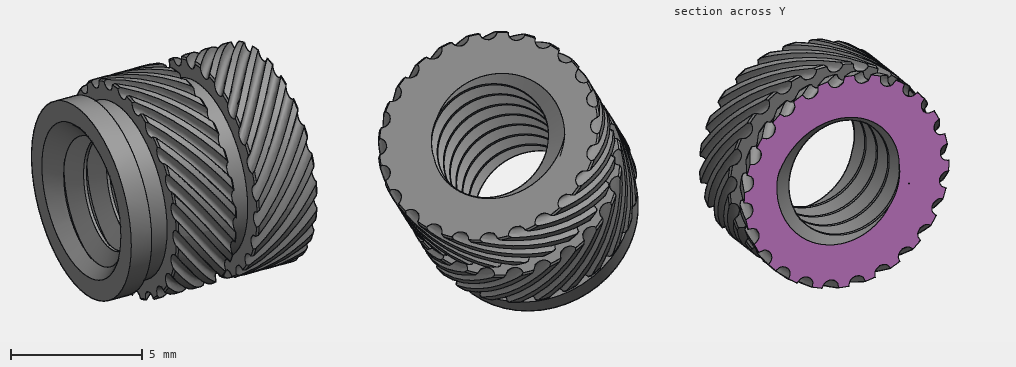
import cadquery as cq
import math


band_width = 0.89
knurl_width = 2.62
knurl_radius = 4.35
knurl_chamfer = 0.07
flange_radius = 3.94
neck_radius = 3.55
total_length = 3 * band_width + 2 * knurl_width
front_knurl_start = 2 * band_width
rear_knurl_start = front_knurl_start + knurl_width + band_width

groove_count = 24
groove_radius = 0.35
groove_lead = 20.01
groove_overrun = 0.09
groove_turn = 360 * knurl_width / groove_lead
front_groove_angle = 0.0
rear_groove_angle = front_groove_angle + groove_turn

bore_radius = 2.245
countersink_radius = 3.115
thread_root_radius = 3.0
thread_pitch = 1.0
thread_flank_angle = 30.0
thread_phase = 0.41
bore_overrun = 1.74
thread_overlap = 0.05
thread_inner_radius = bore_radius - thread_overlap


def disc(radius, start, length):
    return cq.Workplane("XY").workplane(offset=start).circle(radius).extrude(length)


def knurl_blank(start):
    return disc(knurl_radius, start, knurl_width).edges().chamfer(knurl_chamfer)


def knurl_grooves(start, hand, groove_angle):
    """Cutters for one ring of helical grooves; hand is +1 for right-handed, -1 for left-handed."""
    cutter_length = knurl_width + 2 * groove_overrun
    turn_per_length = hand * 360 / groove_lead
    cutter = (
        cq.Workplane("XY")
        .workplane(offset=start - groove_overrun)
        .moveTo(knurl_radius, 0)
        .circle(groove_radius)
        .twistExtrude(cutter_length, turn_per_length * cutter_length)
        .val()
    )
    first_angle = groove_angle - turn_per_length * groove_overrun
    return [
        cutter.rotate(cq.Vector(0, 0, 0), cq.Vector(0, 0, 1), first_angle + i * 360 / groove_count)
        for i in range(groove_count)
    ]


def thread_cutter():
    """Sharp V groove swept along a right-handed helix, starting below the flange face."""
    start = thread_phase - thread_pitch
    turns = math.ceil((total_length - start) / thread_pitch)
    half_width = (thread_root_radius - thread_inner_radius) * math.tan(math.radians(thread_flank_angle))
    helix = cq.Wire.makeHelix(thread_pitch, turns * thread_pitch, thread_inner_radius)
    cutter = (
        cq.Workplane("XZ")
        .polyline([
            (thread_inner_radius, -half_width),
            (thread_root_radius, 0),
            (thread_inner_radius, half_width),
        ])
        .close()
        .sweep(cq.Workplane(helix), isFrenet=True)
    )
    return cutter.translate((0, 0, start))


def threaded_bore():
    """Bore and thread joined into one cutting tool, longer than the part at both ends."""
    bore = disc(bore_radius, -bore_overrun, total_length + 2 * bore_overrun)
    return bore.union(thread_cutter())


def countersink():
    cone_depth = countersink_radius - bore_radius
    return cq.Workplane(cq.Solid.makeCone(countersink_radius, bore_radius, cone_depth))


body = (
    disc(neck_radius, 0, total_length)
    .union(disc(flange_radius, 0, band_width))
    .union(knurl_blank(front_knurl_start))
    .union(knurl_blank(rear_knurl_start))
    .cut(threaded_bore())
    .cut(countersink())
)
grooves = knurl_grooves(front_knurl_start, 1, front_groove_angle)
grooves += knurl_grooves(rear_knurl_start, -1, rear_groove_angle)
insert = cq.Workplane(body.val().cut(*grooves).Solids()[0])
result = insert.rotate((0, 0, 0), (1, 0, 0), -90)